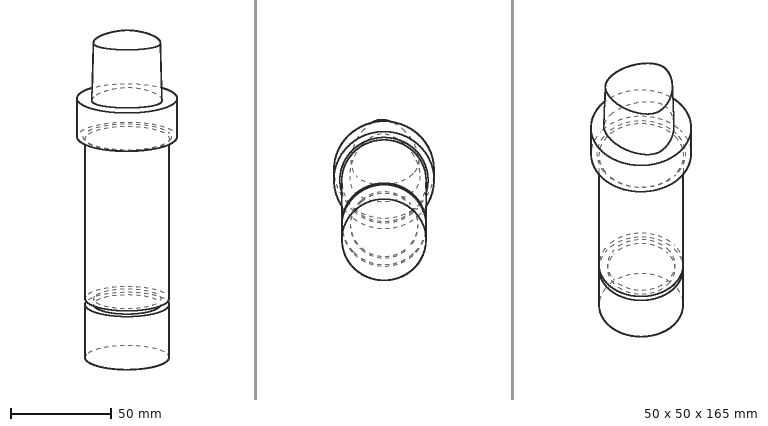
import cadquery as cq
import math

flange_diameter = 50.0
flange_height = 20.0
shank_diameter = 42.0
neck_diameter = 33.5
neck_height = 3.0
head_height = 27.7
overall_length = 165.0

coupling_height = 30.0
coupling_base_width = 35.0
coupling_taper = 1 / 20
lobe_eccentricity = 1.12

collar_height = 1.0
collar_diameter = shank_diameter + 2 * collar_height

flange_bottom = -flange_height
collar_bottom = flange_bottom - collar_height
head_bottom = coupling_height - overall_length
head_top = head_bottom + head_height
shank_bottom = head_top + neck_height


def lobed_point(width, angle):
    """Point on a constant-width, three-lobed curve with one lobe pointing to -Y."""
    across = (
        width / 2 * math.sin(angle)
        + 2 * lobe_eccentricity * math.sin(2 * angle)
        + lobe_eccentricity * math.sin(4 * angle)
    )
    along = (
        width / 2 * math.cos(angle)
        - 2 * lobe_eccentricity * math.cos(2 * angle)
        + lobe_eccentricity * math.cos(4 * angle)
    )
    return across, along


def lobed_wire(workplane, width):
    """Closed lobed outline on the given workplane."""
    return workplane.parametricCurve(
        lambda fraction: lobed_point(width, 2 * math.pi * fraction)
    )


def make_coupling():
    """Coupling that narrows from the flange face to its flat top."""
    top_width = coupling_base_width - coupling_taper * coupling_height
    base = lobed_wire(cq.Workplane("XY"), coupling_base_width)
    return lobed_wire(base.workplane(offset=coupling_height), top_width).loft(ruled=True)


def make_holder():
    """Coupling, flange, shank and the reduced neck at the lower end."""
    flange_radius = flange_diameter / 2
    shank_radius = shank_diameter / 2
    neck_radius = neck_diameter / 2
    turned_body = (
        cq.Workplane("XZ")
        .moveTo(0, 0)
        .lineTo(flange_radius, 0)
        .lineTo(flange_radius, flange_bottom)
        .lineTo(collar_diameter / 2, flange_bottom)
        .lineTo(shank_radius, collar_bottom)
        .lineTo(shank_radius, shank_bottom)
        .lineTo(neck_radius, shank_bottom)
        .lineTo(neck_radius, head_top)
        .lineTo(0, head_top)
        .close()
        .revolve(360, (0, 0, 0), (0, 1, 0))
    )
    return turned_body.union(make_coupling())


def make_head():
    """Plain cylindrical head that sits against the end of the neck."""
    return (
        cq.Workplane("XY")
        .workplane(offset=head_bottom)
        .circle(shank_diameter / 2)
        .extrude(head_height)
    )


holder = make_holder()
head = make_head()
result = cq.Compound.makeCompound([holder.val(), head.val()])